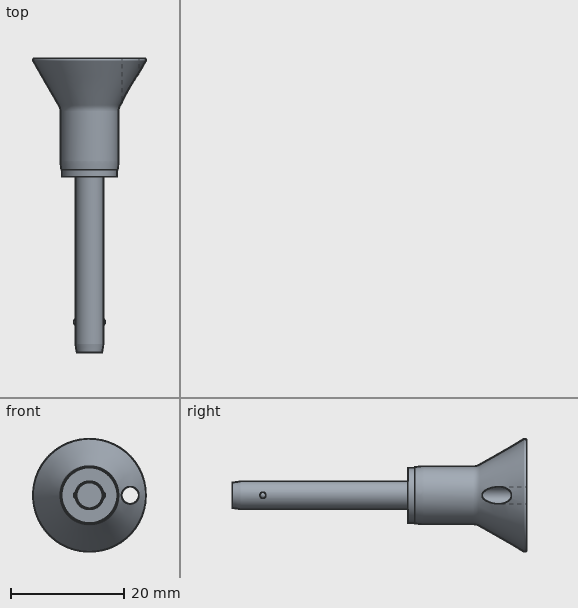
import cadquery as cq
import math


shank_radius = 2.5
shank_length = 31.0
tip_length = 1.5
tip_taper = math.radians(9)

ball_radius = 0.6
ball_reach = 2.8
ball_from_tip = 5.4

grip_length = 21.0
collar_radius = 4.9
collar_length = 1.25
body_radius = 5.15
body_end_length = 1.55
body_end_drop = 0.15
flare_radius = 10.0
flare_slope = math.radians(30)
rim_round = 0.35
neck_round = 2.0

ring_hole_diameter = 3.0
ring_hole_offset = 7.2


def grip_solid():
    """Revolved collar, body, flare and rounded rim."""
    body_end_y = collar_length + body_end_length
    end_arc_radius = (body_end_length**2 + body_end_drop**2) / (2 * body_end_drop)
    end_arc_half_angle = math.asin(body_end_length / end_arc_radius) / 2
    body_end_middle = (
        body_radius - end_arc_radius * (1 - math.cos(end_arc_half_angle)),
        body_end_y - end_arc_radius * math.sin(end_arc_half_angle),
    )

    rim_centre_radius = flare_radius - rim_round
    rim_centre_y = grip_length - rim_round
    rim_end_radius = rim_centre_radius + rim_round * math.cos(flare_slope)
    rim_end_y = rim_centre_y - rim_round * math.sin(flare_slope)

    neck_corner_y = rim_end_y - (rim_end_radius - body_radius) / math.tan(flare_slope)
    neck_tangent = neck_round * math.tan(flare_slope / 2)
    neck_start_y = neck_corner_y - neck_tangent
    neck_end_radius = body_radius + neck_tangent * math.sin(flare_slope)
    neck_end_y = neck_corner_y + neck_tangent * math.cos(flare_slope)

    return (
        cq.Workplane("XY")
        .lineTo(collar_radius, 0)
        .lineTo(collar_radius, collar_length)
        .lineTo(body_radius - body_end_drop, collar_length)
        .threePointArc(body_end_middle, (body_radius, body_end_y))
        .lineTo(body_radius, neck_start_y)
        .tangentArcPoint((neck_end_radius, neck_end_y), relative=False)
        .lineTo(rim_end_radius, rim_end_y)
        .tangentArcPoint((rim_centre_radius, grip_length), relative=False)
        .lineTo(0, grip_length)
        .close()
        .revolve(360, (0, 0, 0), (0, 1, 0))
    )


def shank_solid():
    """Revolved shank with a tapered tip."""
    tip_radius = shank_radius - tip_length * math.tan(tip_taper)
    return (
        cq.Workplane("XY")
        .lineTo(shank_radius, 0)
        .lineTo(shank_radius, tip_length - shank_length)
        .lineTo(tip_radius, -shank_length)
        .lineTo(0, -shank_length)
        .close()
        .revolve(360, (0, 0, 0), (0, 1, 0))
    )


def locking_ball(side):
    """Ball standing out of the shank on the +X (1) or -X (-1) side."""
    centre_x = side * (ball_reach - ball_radius)
    centre_y = ball_from_tip - shank_length
    return cq.Workplane("XY").sphere(ball_radius).translate((centre_x, centre_y, 0))


def ring_hole():
    """Cutter parallel to the axis, beside the body and through the flare."""
    return (
        cq.Workplane("XZ")
        .center(ring_hole_offset, 0)
        .circle(ring_hole_diameter / 2)
        .extrude(-grip_length)
    )


result = grip_solid().cut(ring_hole()).union(shank_solid())
for side in (-1, 1):
    result = result.union(locking_ball(side))